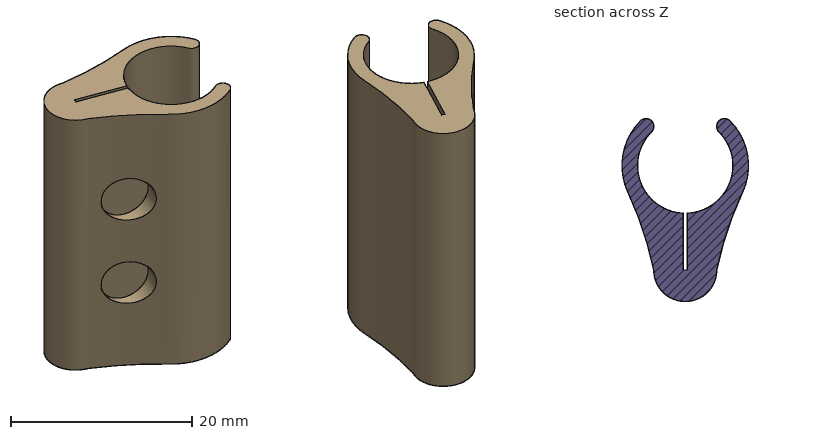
import cadquery as cq
import math

length = 35.0

bore_radius = 5.25
clip_radius = 7.0
tip_angle = 45.0
flank_angle = 25.0

nose_radius = 3.5
nose_y = -11.52

slit_width = 0.4

pocket_diameter = 5.8
pocket_y = -7.18
pocket_floor_x = nose_radius
pocket_count = 2
first_pocket_z = 11.55
pocket_spacing = 11.65


def polar(radius, angle):
    """Point at a radius and an angle in degrees about the bore axis."""
    turn = math.radians(angle)
    return (radius * math.cos(turn), radius * math.sin(turn))


def mirrored(point):
    """The same point on the -X side."""
    return (-point[0], point[1])


def flank_middle(start, end):
    """Middle of the concave arc that leaves the ring tangentially at start and ends at end."""
    run_x = end[0] - start[0]
    run_y = end[1] - start[1]
    chord = math.hypot(run_x, run_y)
    chord_lean = math.atan2(-run_x, -run_y)
    half_turn = math.radians(flank_angle) - chord_lean
    sagitta = chord / 2 * math.tan(half_turn / 2)
    middle_x = (start[0] + end[0]) / 2 - sagitta * math.cos(chord_lean)
    middle_y = (start[1] + end[1]) / 2 + sagitta * math.sin(chord_lean)
    return (middle_x, middle_y)


def make_body():
    """Clip outline with round jaw tips, concave flanks and a round nose."""
    wall = clip_radius - bore_radius
    tip_centre = polar(bore_radius + wall / 2, tip_angle)
    tip_lean = math.radians(tip_angle)
    tip_end = (
        tip_centre[0] - wall / 2 * math.sin(tip_lean),
        tip_centre[1] + wall / 2 * math.cos(tip_lean),
    )
    tip_inner = polar(bore_radius, tip_angle)
    tip_outer = polar(clip_radius, tip_angle)
    ring_side = (clip_radius, 0)
    flank_top = polar(clip_radius, -flank_angle)
    flank_bottom = (nose_radius, nose_y)
    flank_mid = flank_middle(flank_top, flank_bottom)

    outline = (
        cq.Workplane("XY")
        .moveTo(*tip_inner)
        .threePointArc(tip_end, tip_outer)
        .threePointArc(ring_side, flank_top)
        .threePointArc(flank_mid, flank_bottom)
        .threePointArc((0, nose_y - nose_radius), mirrored(flank_bottom))
        .threePointArc(mirrored(flank_mid), mirrored(flank_top))
        .threePointArc(mirrored(ring_side), mirrored(tip_outer))
        .threePointArc(mirrored(tip_end), mirrored(tip_inner))
        .threePointArc((0, -bore_radius), tip_inner)
        .close()
    )
    return outline.extrude(length)


def make_slit():
    """Thin full-length cut from the bore axis to the nose centre."""
    return (
        cq.Workplane("XY")
        .center(0, nose_y / 2)
        .rect(slit_width, -nose_y)
        .extrude(length)
    )


def make_pocket(z):
    """Flat-bottomed round pocket open toward +X."""
    return (
        cq.Workplane("YZ", origin=(pocket_floor_x, pocket_y, z))
        .circle(pocket_diameter / 2)
        .extrude(clip_radius - pocket_floor_x)
    )


result = make_body().cut(make_slit())
for number in range(pocket_count):
    result = result.cut(make_pocket(first_pocket_z + number * pocket_spacing))